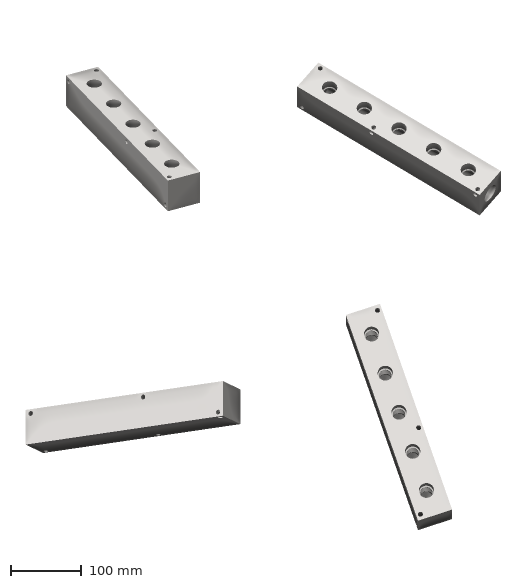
import cadquery as cq
import math

length = 317.5
side = 50.8
mid = side / 2

port_count = 5
port_pitch = 60.3
first_port_x = (length - (port_count - 1) * port_pitch) / 2
port_mouth_diameter = 21.5
port_mouth_depth = 13.5
port_drill_diameter = 17.5
port_drill_depth = 38

bore_mouth_diameter = 27.0
bore_mouth_depth = 16.2
bore_drill_diameter = 23.0
bore_drill_depth = 292

drill_point_angle = 118

mount_diameter = 7.0
mount_inset = 6.5
mount_end_distance = 8.0
mount_left_x = mount_end_distance
mount_right_x = length - mount_end_distance
mount_middle_x = 189.0
mount_spots = [
    (mount_left_x, side - mount_inset),
    (mount_middle_x, side - mount_inset),
    (mount_right_x, mount_inset),
]


def stepped_drill(mouth_diameter, mouth_depth, drill_diameter, drill_depth):
    """Cutter along -Z from the origin: wide mouth, narrower drill, conical tip."""
    mouth_radius = mouth_diameter / 2
    drill_radius = drill_diameter / 2
    tip_height = drill_radius / math.tan(math.radians(drill_point_angle / 2))
    half_profile = [
        (0, 0),
        (mouth_radius, 0),
        (mouth_radius, -mouth_depth),
        (drill_radius, -mouth_depth),
        (drill_radius, -drill_depth),
        (0, -drill_depth - tip_height),
    ]
    return cq.Workplane("XZ").polyline(half_profile).close().revolve(360, (0, 0), (0, 1))


block = cq.Workplane("XY").box(length, side, side, centered=False)

bore = stepped_drill(bore_mouth_diameter, bore_mouth_depth, bore_drill_diameter, bore_drill_depth)
bore = bore.rotate((0, 0, 0), (0, 1, 0), -90).translate((0, mid, mid))
result = block.cut(bore)

port = stepped_drill(port_mouth_diameter, port_mouth_depth, port_drill_diameter, port_drill_depth)
for index in range(port_count):
    result = result.cut(port.translate((first_port_x + index * port_pitch, mid, side)))

mount_radius = mount_diameter / 2
vertical_holes = cq.Workplane("XY").pushPoints(mount_spots).circle(mount_radius).extrude(side)
cross_holes = cq.Workplane("XZ").pushPoints(mount_spots).circle(mount_radius).extrude(-side)
result = result.cut(vertical_holes).cut(cross_holes)